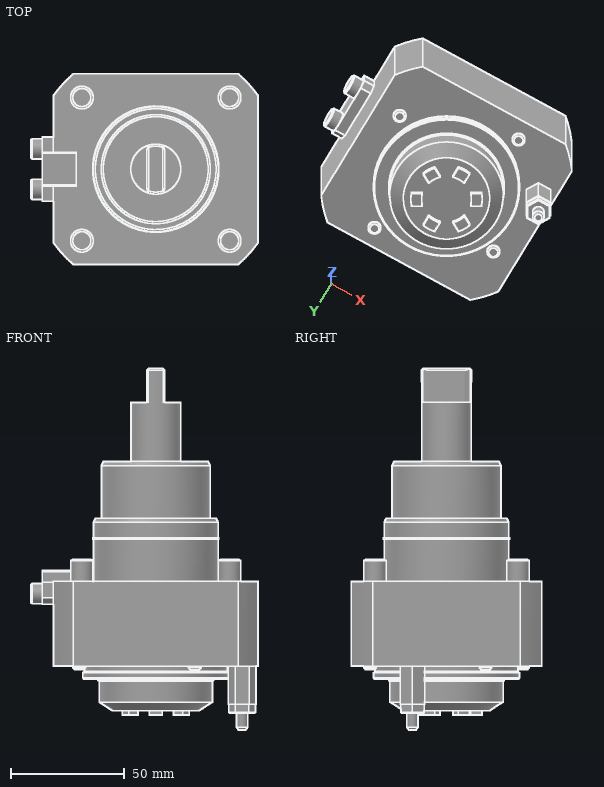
import cadquery as cq
import math


BLOCK_X = 90.0
BLOCK_Y = 84.0
BLOCK_HEIGHT = 37.3
BLOCK_CORNER_RADIUS = 55.5

SPIGOT_RADIUS = 27.5
SPIGOT_TOP = 27.8
SEAL_RADIUS = 27.8
SEAL_HEIGHT = 0.7
SEAL_BOTTOM = 18.4
COLLAR_RADIUS = 24.0
COLLAR_TOP = 52.8
STEP_CHAMFER_RADIAL = 0.9
STEP_CHAMFER_AXIAL = 1.9
SHAFT_RADIUS = 11.0
SHAFT_SHOULDER = 78.7

TANG_TOP = 93.8
TANG_THICKNESS = 8.1
TANG_FLAT_LENGTH = 16.0
TANG_END_THICKNESS = 6.2
TANG_SIDE_CHAMFER = 1.0
TANG_RIM_CHAMFER = 0.9

SCREW_X = 32.5
SCREW_Y = 31.5
SCREW_HEAD_RADIUS = 5.0
SCREW_HEAD_HEIGHT = 9.6
SCREW_HEAD_CHAMFER_RADIAL = 1.0
SCREW_HEAD_CHAMFER_AXIAL = 0.5

TIP_RADIUS = 2.8
TIP_LENGTH = 1.5
TIP_CHAMFER = 0.8
TIP_CIRCLE = 37.8
TIP_START_ANGLE = 27.0
TIP_COUNT = 4

NECK_RADIUS = 31.5
NECK_DEPTH = 2.3
FLANGE_RADIUS = 32.2
FLANGE_DEPTH = 5.7
FLANGE_TOP_CHAMFER = FLANGE_RADIUS - NECK_RADIUS
FLANGE_BOTTOM_CHAMFER = 0.5
NUT_RADIUS = 25.0
NUT_LIP_RADIUS = 25.5
NUT_LIP_DEPTH = 6.2
NUT_BODY_DEPTH = 15.8
NUT_NOSE_RADIUS = 19.0
NUT_NOSE_DEPTH = 19.7

TOOTH_COUNT = 6
TOOTH_INNER_RADIUS = 11.0
TOOTH_OUTER_RADIUS = 15.7
TOOTH_WIDTH = 5.8
TOOTH_HEIGHT = 1.9

PILLAR_X = 38.0
PILLAR_Y = -15.0
PILLAR_ACROSS_CORNERS = 12.4
PILLAR_DEPTH = 16.8
PILLAR_NUT_ACROSS_CORNERS = 11.8
PILLAR_NUT_DEPTH = 20.7
PILLAR_NUT_CHAMFER = 0.4
PIN_RADIUS = 2.5
PIN_DEPTH = 28.2
PIN_CHAMFER_RADIAL = 0.9
PIN_CHAMFER_AXIAL = 1.4

PLATE_THICKNESS = 5.0
PLATE_WIDTH = 28.4
PLATE_TOP = -0.4
PLATE_BOTTOM = -10.1
PLATE_CHAMFER = 2.9
KEY_WIDTH = 14.9
KEY_TOP = 4.8
KEY_LENGTH = 15.1
KEY_CHAMFER = 0.5
PLATE_SCREW_SPACING = 17.8
PLATE_SCREW_Z = -5.4
PLATE_SCREW_RADIUS = 4.5
PLATE_SCREW_HEIGHT = 4.9
PLATE_SCREW_CHAMFER = 0.5

OVERLAP = 1.0

BLOCK_BOTTOM = -BLOCK_HEIGHT
BLOCK_LEFT = -BLOCK_X / 2
PLATE_FACE = BLOCK_LEFT - PLATE_THICKNESS


def revolve_profile(points):
    """Revolve a closed (radius, z) outline about the spindle axis."""
    return cq.Workplane("XZ").polyline(points).close().revolve(360, (0, 0, 0), (0, 1, 0))


def cylinder(x, y, bottom, top, radius):
    """Upright cylinder between two heights."""
    return cq.Workplane("XY", origin=(x, y, bottom)).circle(radius).extrude(top - bottom)


def make_block():
    block = cq.Workplane("XY", origin=(0, 0, BLOCK_BOTTOM)).rect(BLOCK_X, BLOCK_Y).extrude(BLOCK_HEIGHT)
    return block.intersect(cylinder(0, 0, BLOCK_BOTTOM, 0, BLOCK_CORNER_RADIUS))


def make_upper_spindle():
    return revolve_profile([
        (0, -OVERLAP),
        (SPIGOT_RADIUS, -OVERLAP),
        (SPIGOT_RADIUS, SEAL_BOTTOM),
        (SEAL_RADIUS, SEAL_BOTTOM),
        (SEAL_RADIUS, SEAL_BOTTOM + SEAL_HEIGHT),
        (SPIGOT_RADIUS, SEAL_BOTTOM + SEAL_HEIGHT),
        (SPIGOT_RADIUS, SPIGOT_TOP - STEP_CHAMFER_AXIAL),
        (SPIGOT_RADIUS - STEP_CHAMFER_RADIAL, SPIGOT_TOP),
        (COLLAR_RADIUS, SPIGOT_TOP),
        (COLLAR_RADIUS, COLLAR_TOP - STEP_CHAMFER_AXIAL),
        (COLLAR_RADIUS - STEP_CHAMFER_RADIAL, COLLAR_TOP),
        (0, COLLAR_TOP),
    ])


def make_tang_shaft():
    """Round shaft cut down to a flat tang that tapers towards its ends and has a chamfered top."""
    half_flat = TANG_FLAT_LENGTH / 2
    half_thick = TANG_THICKNESS / 2
    half_end = TANG_END_THICKNESS / 2
    outline = [
        (half_thick, half_flat),
        (half_end, SHAFT_RADIUS),
        (-half_end, SHAFT_RADIUS),
        (-half_thick, half_flat),
        (-half_thick, -half_flat),
        (-half_end, -SHAFT_RADIUS),
        (half_end, -SHAFT_RADIUS),
        (half_thick, -half_flat),
    ]
    shoulder = cq.Workplane("XY", origin=(0, 0, SHAFT_SHOULDER))
    waste = shoulder.circle(2 * SHAFT_RADIUS).polyline(outline).close().extrude(TANG_TOP - SHAFT_SHOULDER)
    shaft = cylinder(0, 0, COLLAR_TOP - OVERLAP, TANG_TOP, SHAFT_RADIUS)
    shaft = shaft.faces(">Z").chamfer(TANG_RIM_CHAMFER).cut(waste)
    return shaft.faces(">Z").edges("|Y").chamfer(TANG_SIDE_CHAMFER)


def make_tip(x, y):
    """Chamfered screw tip standing out of the underside of the block."""
    tip = cylinder(x, y, BLOCK_BOTTOM - TIP_LENGTH, BLOCK_BOTTOM + OVERLAP, TIP_RADIUS)
    return tip.faces("<Z").chamfer(TIP_CHAMFER)


def make_screw_head(x, y):
    head = cylinder(x, y, -OVERLAP, SCREW_HEAD_HEIGHT, SCREW_HEAD_RADIUS)
    rim = head.faces(">Z").edges()
    return rim.chamfer(SCREW_HEAD_CHAMFER_AXIAL, SCREW_HEAD_CHAMFER_RADIAL)


def make_tips():
    tips = []
    for index in range(TIP_COUNT):
        angle = math.radians(TIP_START_ANGLE + index * 360 / TIP_COUNT)
        x = TIP_CIRCLE * math.cos(angle)
        y = TIP_CIRCLE * math.sin(angle)
        tips.append(make_tip(x, y))
    return tips


def make_lower_spindle():
    lip_chamfer = NUT_LIP_RADIUS - NUT_RADIUS
    outline = [
        (0, -OVERLAP),
        (NECK_RADIUS, -OVERLAP),
        (NECK_RADIUS, NECK_DEPTH),
        (FLANGE_RADIUS, NECK_DEPTH + FLANGE_TOP_CHAMFER),
        (FLANGE_RADIUS, FLANGE_DEPTH - FLANGE_BOTTOM_CHAMFER),
        (FLANGE_RADIUS - FLANGE_BOTTOM_CHAMFER, FLANGE_DEPTH),
        (NUT_LIP_RADIUS, FLANGE_DEPTH),
        (NUT_LIP_RADIUS, NUT_LIP_DEPTH),
        (NUT_RADIUS, NUT_LIP_DEPTH + lip_chamfer),
        (NUT_RADIUS, NUT_BODY_DEPTH),
        (NUT_NOSE_RADIUS, NUT_NOSE_DEPTH),
        (0, NUT_NOSE_DEPTH),
    ]
    return revolve_profile([(radius, BLOCK_BOTTOM - depth) for radius, depth in outline])


def make_teeth():
    """Ring on the nut nose, reduced to evenly spaced radial teeth."""
    bottom = BLOCK_BOTTOM - NUT_NOSE_DEPTH - TOOTH_HEIGHT
    height = TOOTH_HEIGHT + OVERLAP
    base = cq.Workplane("XY", origin=(0, 0, bottom))
    ring = base.circle(TOOTH_OUTER_RADIUS).circle(TOOTH_INNER_RADIUS).extrude(height)
    bar = base.rect(TOOTH_WIDTH, 2 * TOOTH_OUTER_RADIUS + OVERLAP).extrude(height)
    bars = bar
    for index in range(1, TOOTH_COUNT // 2):
        bars = bars.union(bar.rotate((0, 0, 0), (0, 0, 1), index * 360 / TOOTH_COUNT))
    return ring.intersect(bars)


def make_hexagon(across_corners, depth):
    top = cq.Workplane("XY", origin=(PILLAR_X, PILLAR_Y, BLOCK_BOTTOM + OVERLAP))
    return top.polygon(6, across_corners).extrude(-depth - OVERLAP)


def make_pillar():
    pillar = make_hexagon(PILLAR_ACROSS_CORNERS, PILLAR_DEPTH)
    nut = make_hexagon(PILLAR_NUT_ACROSS_CORNERS, PILLAR_NUT_DEPTH)
    nut = nut.faces("<Z").chamfer(PILLAR_NUT_CHAMFER)
    pin = cylinder(PILLAR_X, PILLAR_Y, BLOCK_BOTTOM - PIN_DEPTH, BLOCK_BOTTOM, PIN_RADIUS)
    pin = pin.faces("<Z").edges().chamfer(PIN_CHAMFER_AXIAL, PIN_CHAMFER_RADIAL)
    return [pillar, nut, pin]


def make_key_plate():
    """Screwed plate with a key that reaches over the top of the block."""
    plate = cq.Workplane("XY").box(
        PLATE_THICKNESS + OVERLAP, PLATE_WIDTH, PLATE_TOP - PLATE_BOTTOM, centered=(False, True, False)
    )
    plate = plate.edges("|X and <Z").chamfer(PLATE_CHAMFER)
    plate = plate.translate((PLATE_FACE, 0, PLATE_BOTTOM))
    key = cq.Workplane("XY").box(KEY_LENGTH, KEY_WIDTH, KEY_TOP + OVERLAP, centered=(False, True, False))
    key = key.edges("|X and >Z").chamfer(KEY_CHAMFER)
    key = key.translate((PLATE_FACE, 0, -OVERLAP))
    return [plate, key]


def make_plate_screw(y):
    screw = (
        cq.Workplane("YZ", origin=(PLATE_FACE + OVERLAP, y, PLATE_SCREW_Z))
        .circle(PLATE_SCREW_RADIUS)
        .extrude(-PLATE_SCREW_HEIGHT - OVERLAP)
    )
    return screw.faces("<X").chamfer(PLATE_SCREW_CHAMFER)


bodies = [make_upper_spindle(), make_tang_shaft(), make_lower_spindle(), make_teeth()]
for side_x in (-1, 1):
    for side_y in (-1, 1):
        bodies.append(make_screw_head(side_x * SCREW_X, side_y * SCREW_Y))
bodies += make_tips()
bodies += make_pillar()
bodies += make_key_plate()
for side_y in (-1, 1):
    bodies.append(make_plate_screw(side_y * PLATE_SCREW_SPACING / 2))

result = make_block()
for body in bodies:
    result = result.union(body)